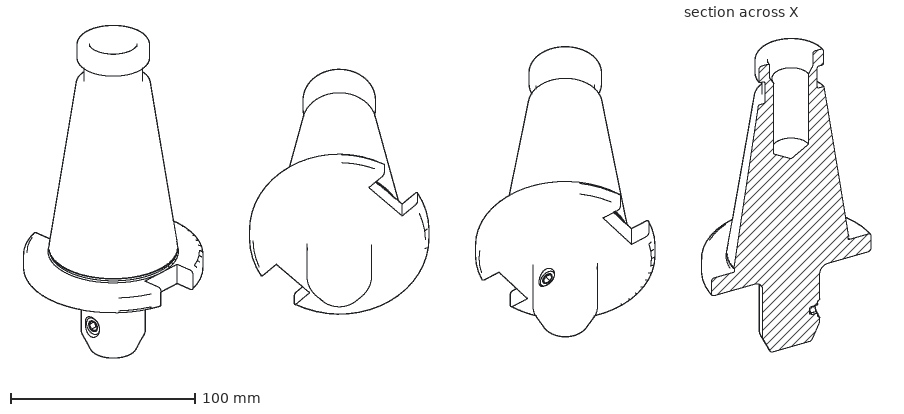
import cadquery as cq
import math


def slope(angle):
    """Radius gained per unit of length by a cone with this half angle in degrees."""
    return math.tan(math.radians(angle))


GAUGE_DIAMETER = 69.85
TAPER_RATIO = 7 / 24
TAPER_TOP_Z = 101.8
TAPER_TOP_FILLET = 1.0
TOP_Z = 126.8
BOTTOM_Z = -63.0

HEAD_DIAMETER = 39.5
HEAD_HEIGHT = 11.0
HEAD_TOP_FILLET = 2.0
HEAD_BOTTOM_FILLET = 1.0
NECK_DIAMETER = 32.0
NECK_TOP_FILLET = 1.0
NECK_BOTTOM_FILLET = 0.8

TAPER_BOTTOM_Z = -1.0
RELIEF_DIAMETER = 69.2
RELIEF_FILLET = 0.8

FLANGE_DIAMETER = 97.5
FLANGE_TOP_Z = -3.2
FLANGE_THICKNESS = 12.0
FLANGE_FILLET = 2.0
SLOT_WIDTH = 25.7
SLOT_FLOOR_X = 35.3

NOSE_DIAMETER = 35.0
NOSE_ROOT_FILLET = 5.0
NOSE_CONE_HEIGHT = 11.0
NOSE_CONE_ANGLE = 25.0
NOSE_EDGE_FILLET = 2.0
NOSE_SHOULDER_FILLET = 1.5

BORE_DIAMETER = 26.0
BORE_DEPTH = 9.6
BORE_MOUTH_FILLET = 1.5
BORE_FLOOR_FILLET = 2.5
STEP_CONE_ANGLE = 30.0
TAP_HOLE_DIAMETER = 21.0
TAP_HOLE_DEPTH = 60.0
DRILL_POINT_ANGLE = 59.0

SCREW_Z = BOTTOM_Z + 20.0
SCREW_SINK_DIAMETER = 12.2
SCREW_HOLE_DIAMETER = 9.6
HEX_ACROSS_FLATS = 5.0
HEX_DEPTH = 4.0
HEX_SINK_DIAMETER = 6.4
HEX_PILOT_DIAMETER = 3.6
HEX_PILOT_DEPTH = 1.0

MATCH_TOLERANCE = 1e-3

TAPER_BOTTOM_DIAMETER = GAUGE_DIAMETER - TAPER_RATIO * TAPER_BOTTOM_Z
TAPER_TOP_DIAMETER = GAUGE_DIAMETER - TAPER_RATIO * TAPER_TOP_Z
HEAD_BOTTOM_Z = TOP_Z - HEAD_HEIGHT
FLANGE_BOTTOM_Z = FLANGE_TOP_Z - FLANGE_THICKNESS
NOSE_CONE_TOP_Z = BOTTOM_Z + NOSE_CONE_HEIGHT
NOSE_END_RADIUS = NOSE_DIAMETER / 2 - NOSE_CONE_HEIGHT * slope(NOSE_CONE_ANGLE)
HEX_CORNER_DIAMETER = HEX_ACROSS_FLATS / math.cos(math.pi / 6)


def turned(points):
    """Revolve a closed (radius, z) outline about the Z axis."""
    return cq.Workplane("YZ").polyline(points).close().revolve(360, (0, 0, 0), (0, 1, 0))


def fillet_circle(body, diameter, z, radius):
    """Round the circular edges of the given diameter at height z."""
    def on_circle(edge):
        box = edge.BoundingBox()
        reach = max(abs(box.xmin), abs(box.xmax), abs(box.ymin), abs(box.ymax))
        flat_at_z = abs(box.zmin - z) < MATCH_TOLERANCE and abs(box.zmax - z) < MATCH_TOLERANCE
        return flat_at_z and abs(reach - diameter / 2) < MATCH_TOLERANCE

    edges = [edge for edge in body.edges().vals() if on_circle(edge)]
    return body.newObject(edges).fillet(radius)


def outer_body():
    body = turned([
        (0, BOTTOM_Z),
        (NOSE_END_RADIUS, BOTTOM_Z),
        (NOSE_DIAMETER / 2, NOSE_CONE_TOP_Z),
        (NOSE_DIAMETER / 2, FLANGE_BOTTOM_Z),
        (FLANGE_DIAMETER / 2, FLANGE_BOTTOM_Z),
        (FLANGE_DIAMETER / 2, FLANGE_TOP_Z),
        (RELIEF_DIAMETER / 2, FLANGE_TOP_Z),
        (RELIEF_DIAMETER / 2, TAPER_BOTTOM_Z),
        (TAPER_BOTTOM_DIAMETER / 2, TAPER_BOTTOM_Z),
        (TAPER_TOP_DIAMETER / 2, TAPER_TOP_Z),
        (NECK_DIAMETER / 2, TAPER_TOP_Z),
        (NECK_DIAMETER / 2, HEAD_BOTTOM_Z),
        (HEAD_DIAMETER / 2, HEAD_BOTTOM_Z),
        (HEAD_DIAMETER / 2, TOP_Z),
        (0, TOP_Z),
    ])
    rounded_edges = [
        (2 * NOSE_END_RADIUS, BOTTOM_Z, NOSE_EDGE_FILLET),
        (NOSE_DIAMETER, NOSE_CONE_TOP_Z, NOSE_SHOULDER_FILLET),
        (NOSE_DIAMETER, FLANGE_BOTTOM_Z, NOSE_ROOT_FILLET),
        (FLANGE_DIAMETER, FLANGE_BOTTOM_Z, FLANGE_FILLET),
        (FLANGE_DIAMETER, FLANGE_TOP_Z, FLANGE_FILLET),
        (RELIEF_DIAMETER, FLANGE_TOP_Z, RELIEF_FILLET),
        (TAPER_TOP_DIAMETER, TAPER_TOP_Z, TAPER_TOP_FILLET),
        (NECK_DIAMETER, TAPER_TOP_Z, NECK_BOTTOM_FILLET),
        (NECK_DIAMETER, HEAD_BOTTOM_Z, NECK_TOP_FILLET),
        (HEAD_DIAMETER, HEAD_BOTTOM_Z, HEAD_BOTTOM_FILLET),
        (HEAD_DIAMETER, TOP_Z, HEAD_TOP_FILLET),
    ]
    for diameter, z, radius in rounded_edges:
        body = fillet_circle(body, diameter, z, radius)
    return body


def cut_drive_slots(body):
    """Two drive slots on opposite sides of the flange, open outwards."""
    slot_length = FLANGE_DIAMETER / 2
    for side in (-1, 1):
        slot = (
            cq.Workplane("XY", origin=(side * (SLOT_FLOOR_X + slot_length / 2), 0, FLANGE_BOTTOM_Z))
            .rect(slot_length, SLOT_WIDTH)
            .extrude(FLANGE_THICKNESS)
        )
        body = body.cut(slot)
    return body


def cut_top_bore(body):
    """Stepped blind bore from the head into the taper, ending in a drill point."""
    bore_radius = BORE_DIAMETER / 2
    tap_radius = TAP_HOLE_DIAMETER / 2
    bore_floor_z = TOP_Z - BORE_DEPTH
    step_bottom_z = bore_floor_z - (bore_radius - tap_radius) / slope(STEP_CONE_ANGLE)
    tap_floor_z = TOP_Z - TAP_HOLE_DEPTH
    bore = turned([
        (0, TOP_Z),
        (bore_radius, TOP_Z),
        (bore_radius, bore_floor_z),
        (tap_radius, step_bottom_z),
        (tap_radius, tap_floor_z),
        (0, tap_floor_z - tap_radius / slope(DRILL_POINT_ANGLE)),
    ])
    bore = fillet_circle(bore, BORE_DIAMETER, bore_floor_z, BORE_FLOOR_FILLET)
    return fillet_circle(body.cut(bore), BORE_DIAMETER, TOP_Z, BORE_MOUTH_FILLET)


def cut_clamping_screw(body):
    """Countersunk clamping screw on the -Y side of the nose, shown by its end face and hex socket."""
    sink_depth = (SCREW_SINK_DIAMETER - SCREW_HOLE_DIAMETER) / 2
    hex_sink_depth = (HEX_SINK_DIAMETER - HEX_CORNER_DIAMETER) / 2
    nose_face = cq.Workplane("XZ", origin=(0, -NOSE_DIAMETER / 2, SCREW_Z))
    screw_face = nose_face.workplane(offset=-sink_depth)
    countersink = (
        nose_face.circle(SCREW_SINK_DIAMETER / 2)
        .workplane(offset=-sink_depth)
        .circle(SCREW_HOLE_DIAMETER / 2)
        .loft()
    )
    socket = screw_face.polygon(6, HEX_CORNER_DIAMETER).extrude(-HEX_DEPTH)
    socket_sink = (
        screw_face.circle(HEX_SINK_DIAMETER / 2)
        .workplane(offset=-hex_sink_depth)
        .circle(HEX_CORNER_DIAMETER / 2)
        .loft()
    )
    pilot = screw_face.circle(HEX_PILOT_DIAMETER / 2).extrude(-HEX_DEPTH - HEX_PILOT_DEPTH)
    return body.cut(countersink).cut(socket).cut(socket_sink).cut(pilot)


result = cut_clamping_screw(cut_top_bore(cut_drive_slots(outer_body())))